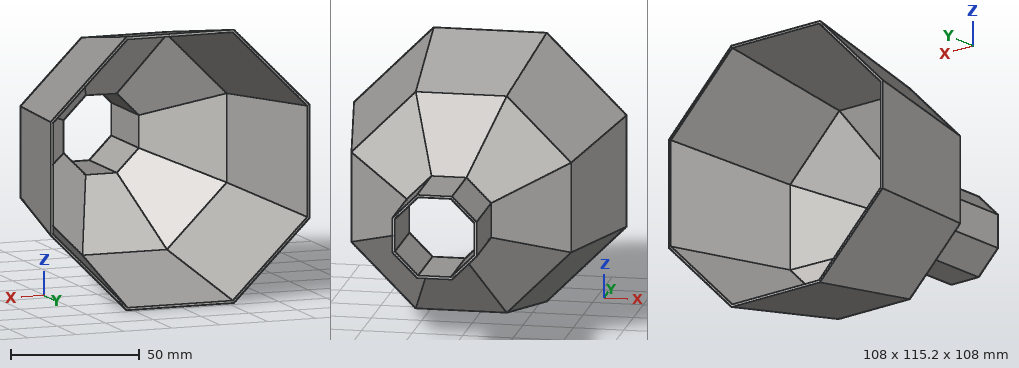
import cadquery as cq
import math

SIDES = 8
RIM_WIDTH = 108.0
SHOULDER_WIDTH = 87.1
SPOUT_WIDTH = 33.4
WALL = 1.0

TOTAL_LENGTH = 115.2
BOWL_LENGTH = 59.9
SPOUT_LENGTH = 30.0

tip_y = -TOTAL_LENGTH / 2
neck_y = tip_y + SPOUT_LENGTH
rim_y = TOTAL_LENGTH / 2
shoulder_y = rim_y - BOWL_LENGTH


def octagon(width, y):
    """Octagon wire square to the Y axis, with flats facing +/-X and +/-Z."""
    corner_radius = width / 2 / math.cos(math.pi / SIDES)
    corners = []
    for side in range(SIDES):
        angle = (2 * side + 1) * math.pi / SIDES
        corners.append(cq.Vector(corner_radius * math.cos(angle), y, corner_radius * math.sin(angle)))
    return cq.Wire.makePolygon(corners, close=True)


def faceted_solid(start_width, start_y, end_width, end_y):
    """Solid with flat sides between two octagons."""
    wires = [octagon(start_width, start_y), octagon(end_width, end_y)]
    return cq.Workplane(cq.Solid.makeLoft(wires, True))


def faceted_shell(start_width, start_y, end_width, end_y):
    """Hollow faceted section, open at both ends, with its wall inside the given widths."""
    outer = faceted_solid(start_width, start_y, end_width, end_y)
    inner = faceted_solid(start_width - 2 * WALL, start_y, end_width - 2 * WALL, end_y)
    return outer.cut(inner)


def make_funnel():
    """Wide bowl and the cone that narrows it to the neck, as one solid."""
    cone = faceted_shell(SPOUT_WIDTH, neck_y, SHOULDER_WIDTH, shoulder_y)
    bowl = faceted_shell(SHOULDER_WIDTH, shoulder_y, RIM_WIDTH, rim_y)
    return cone.union(bowl)


def make_spout():
    """Straight octagonal tube that meets the narrow end of the cone."""
    return faceted_shell(SPOUT_WIDTH, tip_y, SPOUT_WIDTH, neck_y)


funnel = make_funnel()
spout = make_spout()

result = cq.Compound.makeCompound([funnel.val(), spout.val()])